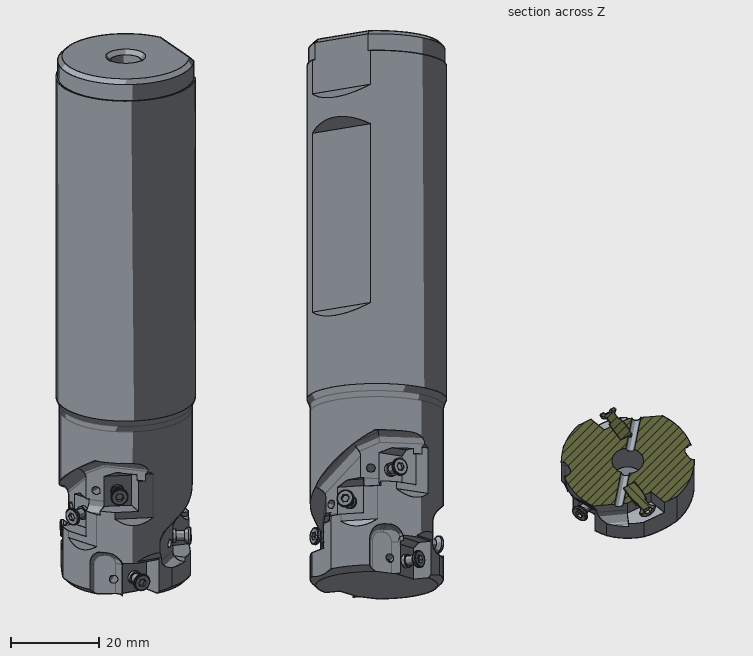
import cadquery as cq
import math

LENGTH = 125.8
SHANK_RADIUS = 15.9
NECK_RADIUS = 15.1
COLLAR_RADIUS = 15.5
COLLAR_BOTTOM_Z = 120.9
END_CHAMFER = 1.0
SHOULDER_TOP_Z = 43.3
SHOULDER_RADIUS = 15.2
SHOULDER_BOTTOM_Z = 41.8
NECK_TOP_Z = 40.4
NOSE_CHAMFER = 1.3

FLAT_Y = 13.6
UPPER_FLAT_BOTTOM_Z = 113.0
LOWER_FLAT_TOP_Z = 103.8
LOWER_FLAT_BOTTOM_Z = 62.1

BORE_DIAMETER = 7.0
BORE_MOUTH_DIAMETER = 9.0
BORE_FLOOR_Z = 3.5
DRILL_POINT_ANGLE = 118.0
COOLANT_HOLE_DIAMETER = 1.9

STATIONS = [(-90.0, 3.5), (-24.0, 10.5), (20.0, 17.2), (70.0, 24.4)]
LOW_STATION_COUNT = 2
FLUTE_TURNS = [0.0, 180.0]

SEAT_DISTANCE = 10.3
SEAT_WIDTH = 6.3
SEAT_HALF_HEIGHT = 3.6
SEAT_LIP_HEIGHT = 1.3
WALL_LEAN = 0.25

GULLET_TILT = 25.0
GULLET_DROP = 4.7
GULLET_LEAD = 10.1
GULLET_FILLET = 2.3
NOSE_GULLET_TOP_Z = 10.8
NOSE_GULLET_LEAD = 9.2
NOSE_GULLET_CORNER = 3.5
NOSE_GULLET_FILLET = 1.5
FLUTE_TOP_Z = 32.7
FLUTE_MID_Z = 26.9
FLUTE_RISE = 34.0
COOLANT_LEAD = 2.4
FLOOR_TILT = math.radians(GULLET_TILT)
FLOOR_DISTANCE = SEAT_DISTANCE * math.cos(FLOOR_TILT) + SEAT_WIDTH * math.sin(FLOOR_TILT)
SEAT_EDGE_Y = SEAT_DISTANCE * math.sin(FLOOR_TILT) - SEAT_WIDTH * math.cos(FLOOR_TILT)

CLEARANCE_DISTANCE = 14.5
CLEARANCE_HALF_HEIGHT = 5.3
RUNOUT_SLOPE = 2.4

SCREW_LEAD = 3.3
HEAD_TOP = 14.6
HEAD_DIAMETER = 3.9
HEAD_RIM = 0.6
HEAD_CHAMFER = 0.19
HEAD_CONE = 0.9
NECK_DIAMETER = 2.3
THREAD_DIAMETER = 3.0
THREAD_TOP = 11.2
SCREW_TIP = 6.0
SOCKET_WIDTH = 1.9
SOCKET_DEPTH = 0.8

REACH = 25.2


def turned_blank():
    return (
        cq.Workplane("XZ")
        .moveTo(0, 0)
        .lineTo(NECK_RADIUS - NOSE_CHAMFER, 0)
        .lineTo(NECK_RADIUS, NOSE_CHAMFER)
        .lineTo(NECK_RADIUS, NECK_TOP_Z)
        .lineTo(SHOULDER_RADIUS, SHOULDER_BOTTOM_Z)
        .lineTo(SHANK_RADIUS, SHOULDER_TOP_Z)
        .lineTo(SHANK_RADIUS, COLLAR_BOTTOM_Z)
        .lineTo(COLLAR_RADIUS, COLLAR_BOTTOM_Z)
        .lineTo(COLLAR_RADIUS, LENGTH)
        .lineTo(0, LENGTH)
        .close()
        .revolve(360, (0, 0, 0), (0, 1, 0))
    )


def clamping_flats():
    side = REACH - FLAT_Y
    upper = [
        (FLAT_Y, UPPER_FLAT_BOTTOM_Z),
        (REACH, UPPER_FLAT_BOTTOM_Z - side),
        (REACH, LENGTH),
        (FLAT_Y, LENGTH),
    ]
    lower = [
        (FLAT_Y, LOWER_FLAT_BOTTOM_Z),
        (REACH, LOWER_FLAT_BOTTOM_Z - side),
        (REACH, LOWER_FLAT_TOP_Z + side),
        (FLAT_Y, LOWER_FLAT_TOP_Z),
    ]
    plane = cq.Workplane("YZ")
    return [plane.polyline(outline).close().extrude(REACH, both=True) for outline in (upper, lower)]


def coolant_bore():
    radius = BORE_DIAMETER / 2
    mouth_radius = BORE_MOUTH_DIAMETER / 2
    point_z = BORE_FLOOR_Z - radius / math.tan(math.radians(DRILL_POINT_ANGLE / 2))
    outline = [
        (0, point_z),
        (radius, BORE_FLOOR_Z),
        (radius, LENGTH - (mouth_radius - radius)),
        (mouth_radius, LENGTH),
        (0, LENGTH),
    ]
    return cq.Workplane("XZ").polyline(outline).close().revolve(360, (0, 0, 0), (0, 1, 0))




def to_station(shape, direction):
    return shape.rotate((0, 0, 0), (0, 0, 1), direction - 90.0)


def seat_pocket(seat_z):
    """Room for the insert, with a sloped lip above the seat."""
    depth = REACH - SEAT_DISTANCE
    bottom_z = seat_z - SEAT_HALF_HEIGHT
    top_z = seat_z + SEAT_HALF_HEIGHT
    plan = [
        (SEAT_DISTANCE, 0),
        (REACH, WALL_LEAN * depth),
        (REACH, -SEAT_WIDTH - depth * math.tan(math.radians(GULLET_TILT))),
        (SEAT_DISTANCE, -SEAT_WIDTH),
    ]
    elevation = [
        (SEAT_DISTANCE, bottom_z),
        (REACH, bottom_z),
        (REACH, top_z + SEAT_LIP_HEIGHT),
        (SEAT_DISTANCE + SEAT_LIP_HEIGHT, top_z + SEAT_LIP_HEIGHT),
        (SEAT_DISTANCE, top_z),
    ]
    column = cq.Workplane("XY").polyline(plan).close().extrude(LENGTH)
    layer = cq.Workplane("XZ").polyline(elevation).close().extrude(REACH, both=True)
    return column.intersect(layer)


def clearance_flat(bottom_z, top_z):
    """Flat across the seat that runs out gently at both ends."""
    side = REACH - CLEARANCE_DISTANCE
    elevation = [
        (CLEARANCE_DISTANCE, bottom_z),
        (REACH, bottom_z - RUNOUT_SLOPE * side),
        (REACH, top_z + RUNOUT_SLOPE * side),
        (CLEARANCE_DISTANCE, top_z),
    ]
    return cq.Workplane("XZ").polyline(elevation).close().extrude(REACH, both=True)


def flute_envelope():
    """Space under the rising top edge of a flute on the -Y side."""
    slope = math.tan(math.radians(FLUTE_RISE))
    outline = [
        (-REACH, -REACH),
        (REACH, -REACH),
        (REACH, FLUTE_TOP_Z),
        ((FLUTE_TOP_Z - FLUTE_MID_Z) / slope, FLUTE_TOP_Z),
        (-REACH, FLUTE_MID_Z - REACH * slope),
    ]
    return cq.Workplane("XZ").polyline(outline).close().extrude(REACH, both=True)




def gullet_block(start_y, end_y, bottom_z, top_z):
    depth = REACH - FLOOR_DISTANCE
    block = cq.Workplane("XY").box(depth, end_y - start_y, top_z - bottom_z, centered=False)
    return block.translate((FLOOR_DISTANCE, start_y, bottom_z))


def nose_gullet(direction):
    """Arched slot in front of the seat, open at the nose of the tool."""
    slot = gullet_block(-NOSE_GULLET_LEAD, SEAT_EDGE_Y, -REACH, NOSE_GULLET_TOP_Z)
    slot = slot.edges("|X and >Z").fillet(NOSE_GULLET_CORNER)
    slot = slot.faces("<X").edges(">Z").fillet(NOSE_GULLET_FILLET)
    return to_station(slot, direction - GULLET_TILT)


def flute_gullet(direction, seat_z):
    """Space in front of and above the seat, up to the rising edge of the flute."""
    floor_direction = direction - GULLET_TILT
    chip_space = gullet_block(-GULLET_LEAD, REACH, seat_z - GULLET_DROP, 2 * REACH)
    chip_space = chip_space.intersect(to_station(flute_envelope(), 180.0 - floor_direction))
    chip_space = chip_space.faces("<X").edges("not |Z").fillet(GULLET_FILLET)
    land = gullet_block(SEAT_EDGE_Y, 2 * REACH, -REACH, seat_z + SEAT_HALF_HEIGHT)
    return to_station(chip_space.cut(land), floor_direction)


def coolant_hole(direction, seat_z):
    """Radial hole from the axial bore to the gullet floor beside the seat."""
    lead_angle = math.degrees(math.atan((SEAT_WIDTH + COOLANT_LEAD) / SEAT_DISTANCE))
    hole = cq.Workplane("YZ").center(0, seat_z).circle(COOLANT_HOLE_DIAMETER / 2)
    return to_station(hole.extrude(REACH), direction - lead_angle)


def screw_hole(seat_z):
    hole = cq.Workplane("YZ").workplane(offset=SCREW_TIP).center(-SCREW_LEAD, seat_z)
    return hole.circle(THREAD_DIAMETER / 2).extrude(REACH - SCREW_TIP)


def insert_screw(seat_z):
    """Screw with a threaded end, slim neck and conical head, standing out along +X."""
    head_radius = HEAD_DIAMETER / 2
    neck_radius = NECK_DIAMETER / 2
    thread_radius = THREAD_DIAMETER / 2
    rim_x = HEAD_TOP - HEAD_RIM
    outline = [
        (SCREW_TIP, 0),
        (SCREW_TIP, thread_radius),
        (THREAD_TOP, thread_radius),
        (THREAD_TOP, neck_radius),
        (rim_x - HEAD_CONE, neck_radius),
        (rim_x, head_radius),
        (HEAD_TOP - HEAD_CHAMFER, head_radius),
        (HEAD_TOP, head_radius - HEAD_CHAMFER),
        (HEAD_TOP, 0),
    ]
    screw = cq.Workplane("XY").polyline(outline).close().revolve(360, (0, 0, 0), (1, 0, 0))
    socket = cq.Workplane("YZ").workplane(offset=HEAD_TOP - SOCKET_DEPTH).polygon(6, SOCKET_WIDTH)
    screw = screw.cut(socket.extrude(SOCKET_DEPTH))
    return screw.translate((0, -SCREW_LEAD, seat_z))


def station_cuts(index, direction, seat_z):
    is_nose = index == 0
    gullet = nose_gullet(direction) if is_nose else flute_gullet(direction, seat_z)
    reaches_nose = index < LOW_STATION_COUNT
    flat_bottom_z = -NOSE_CHAMFER if reaches_nose else seat_z - CLEARANCE_HALF_HEIGHT
    flat_top_z = seat_z + CLEARANCE_HALF_HEIGHT
    return [
        to_station(seat_pocket(seat_z), direction),
        to_station(clearance_flat(flat_bottom_z, flat_top_z), direction),
        gullet,
        coolant_hole(direction, seat_z),
        to_station(screw_hole(seat_z), direction),
    ]


def cutter_body():
    body = turned_blank()
    for flat in clamping_flats():
        body = body.cut(flat)
    body = body.faces(">Z").edges().chamfer(END_CHAMFER)
    body = body.cut(coolant_bore())
    for index, (direction, seat_z) in enumerate(STATIONS):
        for cut in station_cuts(index, direction, seat_z):
            for turn in FLUTE_TURNS:
                body = body.cut(cut.rotate((0, 0, 0), (0, 0, 1), turn))
    return body


def insert_screws():
    screws = []
    for direction, seat_z in STATIONS:
        for turn in FLUTE_TURNS:
            screws.append(to_station(insert_screw(seat_z), direction + turn))
    return screws


body = cutter_body()
screws = insert_screws()
result = cq.Compound.makeCompound([body.val()] + [screw.val() for screw in screws])